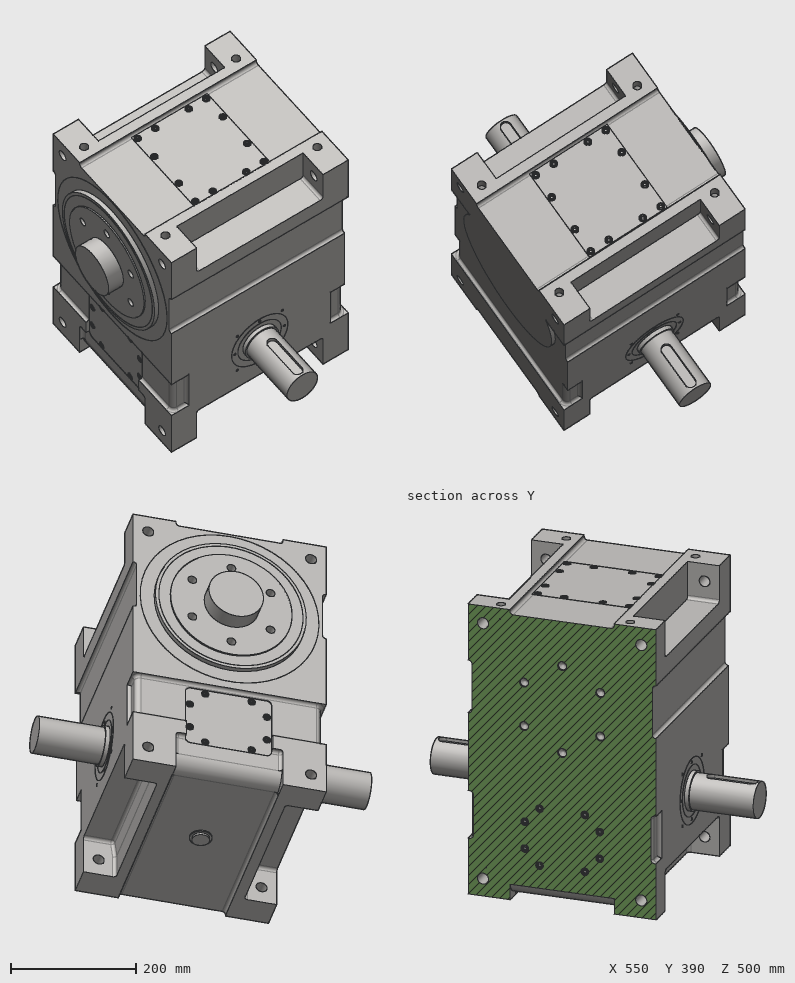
import cadquery as cq
import math

WIDTH, DEPTH, HEIGHT = 320.0, 350.0, 500.0
HALF_W, HALF_D = WIDTH / 2, DEPTH / 2
INPUT_LENGTH = 550.0
OUTPUT_REACH = 40.0
INPUT_Z = 160.0
OUTPUT_Z = 340.0

BAND_DEPTH = 6.0
INNER_R = 5.5
MARK = 0.5
EPS = 0.05

CHANNEL_W, CHANNEL_DEPTH = 177.0, 8.0

BAND_Z0, BAND_Z1 = 312.5, 402.5
WAIST_Z0, WAIST_Z1 = 97.0, 178.0
WAIST_NOTCH_Y = 35.0
WAIST_CORNER_R = 9.0
FRONT_RELIEF = 6.0
BACK_RECESS = 7.0

POCKET_HALF_Y, POCKET_DEPTH = 125.0, 54.0
TOP_POCKET_H, FOOT_POCKET_H = 64.0, 70.5
FOOT_WALL_BREAK_Z = 40.0
FOOT_WALL_LEAN = 4.0
FRONT_POCKET_DEPTH = 7.5
BELLY_R = 25.0

THROUGH_D, THROUGH_X, THROUGH_EDGE = 18.0, 135.0, 30.0
TAPPED_D, TAPPED_DEPTH = 14.5, 22.0
DRILL_POINT_ANGLE = 118
TOP_TAPPED_X, TOP_TAPPED_Y = 110.0, 150.0

FRONT_COVER_W, FRONT_COVER_Z0, FRONT_COVER_Z1 = 143.0, 59.5, 170.5
FRONT_COVER_R, FRONT_COVER_T = 9.0, 9.0
TOP_COVER_X, TOP_COVER_Y, TOP_COVER_T = 170.5, 150.0, 5.5
FRONT_SCREW_X, FRONT_SCREW_ROW_X = 64.0, 38.5
FRONT_SCREW_Z, FRONT_SCREW_ROW_Z = 49.0, 23.0
TOP_SCREW_X, TOP_SCREW_Y, TOP_SCREW_ROW = 78.0, 67.5, 33.0
SCREW_BORE_D, SCREW_HEAD_D, SCREW_SOCKET, SCREW_BORE_DEPTH = 12.0, 9.0, 5.5, 3.5

HOUSING_RING_R, FLANGE_R, FLANGE_FACE_R = 148.0, 125.0, 119.5
FLANGE_T = 8.0
HUB_R, HUB_T = 100.5, 11.0
OUTPUT_SHAFT_R = 45.0
FLANGE_BOLT_R, FLANGE_BOLT_COUNT = 75.0, 6

INPUT_R, COLLAR_R, COLLAR_T = 30.0, 33.0, 6.0
CAP_R, SEAL_R = 55.5, 43.0
CAP_SCREW_D, CAP_SCREW_DEPTH, CAP_SCREW_R, CAP_SCREW_OFFSET = 4.5, 8.0, 49.0, 44.5
KEY_W, KEY_L, KEY_DEPTH, KEY_END_GAP = 18.0, 86.0, 7.0, 4.0

PLUG_R, PLUG_T, PLUG_HEAD_R, PLUG_HEAD_T = 18.0, 2.0, 14.5, 4.0


def block(x0, x1, y0, y1, z0, z1):
    """Axis-aligned block between two corners."""
    return cq.Workplane("XY").box(x1 - x0, y1 - y0, z1 - z0, centered=False).translate((x0, y0, z0))


def rod(radius, length, start, direction):
    """Cylinder from a start point along a direction."""
    return cq.Workplane(obj=cq.Solid.makeCylinder(radius, length, cq.Vector(*start), cq.Vector(*direction)))


def edges_in(body, x_range, y_range, z_range):
    """Edges whose centres lie inside a box."""
    low = tuple(limits[0] - EPS for limits in (x_range, y_range, z_range))
    high = tuple(limits[1] + EPS for limits in (x_range, y_range, z_range))
    return body.edges(cq.selectors.BoxSelector(low, high))


def tapped_hole(start, inward):
    """Blind tapped hole with a conical drill tip."""
    hole = rod(TAPPED_D / 2, TAPPED_DEPTH, start, inward)
    tip_height = TAPPED_D / 2 / math.tan(math.radians(DRILL_POINT_ANGLE / 2))
    bottom = cq.Vector(*start) + cq.Vector(*inward) * TAPPED_DEPTH
    tip = cq.Solid.makeCone(TAPPED_D / 2, 0, tip_height, bottom, cq.Vector(*inward))
    return hole.union(cq.Workplane(obj=tip))


def both_sides(shape):
    """The shape together with its mirror image across the YZ plane."""
    return shape.union(shape.mirror("YZ"))


def channel_cutter():
    """Channel along the top face, with rounded floor edges."""
    half = CHANNEL_W / 2
    floor = HEIGHT - CHANNEL_DEPTH
    cutter = block(-half, half, -HALF_D, HALF_D, floor, HEIGHT)
    return cutter.edges("|Y and <Z").fillet(INNER_R)


def bottom_channel_cutter():
    """Channel along the bottom face, with rounded roof edges."""
    half = CHANNEL_W / 2
    cutter = block(-half, half, -HALF_D, HALF_D, 0, CHANNEL_DEPTH)
    return cutter.edges("|Y and >Z").fillet(INNER_R)


def top_pocket_cutter():
    """Pocket in the -X top edge, with rounded ends at its floor."""
    wall_x = -HALF_W + POCKET_DEPTH
    floor = HEIGHT - TOP_POCKET_H
    cutter = block(-HALF_W, wall_x, -POCKET_HALF_Y, POCKET_HALF_Y, floor, HEIGHT)
    return cutter.edges("|X and <Z").fillet(INNER_R)


def foot_pocket_cutter():
    """Pocket between the two -X feet; its wall leans outward toward the roof."""
    wall_x = -HALF_W + POCKET_DEPTH
    outline = [
        (-HALF_W, 0),
        (wall_x, 0),
        (wall_x, FOOT_WALL_BREAK_Z),
        (wall_x - FOOT_WALL_LEAN, FOOT_POCKET_H),
        (-HALF_W, FOOT_POCKET_H),
    ]
    cutter = cq.Workplane("XZ").polyline(outline).close().extrude(POCKET_HALF_Y, both=True)
    inner_faces = cutter.faces("|Y or >Z")
    return inner_faces.edges("(not <X) and (not <Z)").fillet(INNER_R)


def front_pocket_cutter():
    """Pocket between the front feet, running under the rounded belly of the housing."""
    half = CHANNEL_W / 2
    wall_y = -HALF_D + FRONT_POCKET_DEPTH
    pocket = block(-half, half, -HALF_D, wall_y, 0, FOOT_POCKET_H)
    pocket = pocket.edges("(>Y and |Z) or (>Y and >Z) or (>Z and |Y)").fillet(INNER_R)
    belly_z = CHANNEL_DEPTH + BELLY_R
    corner = block(-half, half, wall_y - INNER_R, wall_y + BELLY_R, 0, belly_z)
    belly = rod(BELLY_R, CHANNEL_W, (-half, wall_y + BELLY_R, belly_z), (1, 0, 0))
    return pocket.union(corner.cut(belly))


def waist_cutter(inset):
    """Shallow relief around the two +Y corners, above the feet."""
    core_x = HALF_W - FRONT_RELIEF
    core_y = HALF_D - inset
    notch_y = HALF_D - WAIST_NOTCH_Y
    strip = block(-HALF_W, HALF_W, notch_y, HALF_D, WAIST_Z0, WAIST_Z1)
    core = block(-core_x, core_x, 0, core_y, WAIST_Z0, WAIST_Z1)
    return strip.cut(core.edges("|Z and >Y").fillet(WAIST_CORNER_R))


def round_waist_roots(body):
    """Casting radius where the waist and the back recess run into the full-size housing."""
    core_x = (FRONT_RELIEF - HALF_W, HALF_W - FRONT_RELIEF)
    full_x = (-HALF_W, HALF_W)
    front_y, back_y = FRONT_RELIEF - HALF_D, HALF_D - BACK_RECESS
    notch_y = HALF_D - WAIST_NOTCH_Y
    upright_z = (WAIST_Z0 + INNER_R, WAIST_Z1 - INNER_R)

    roots = edges_in(body, core_x, (front_y, -notch_y), (WAIST_Z0, WAIST_Z0))
    roots = roots.add(edges_in(body, core_x, (front_y, -notch_y), (WAIST_Z1, WAIST_Z1)))
    roots = roots.add(edges_in(body, core_x, (-notch_y, -notch_y), upright_z))
    body = roots.fillet(INNER_R)

    roots = edges_in(body, core_x, (notch_y, back_y), (WAIST_Z0, WAIST_Z0))
    roots = roots.add(edges_in(body, core_x, (notch_y, notch_y), upright_z))
    roots = roots.add(edges_in(body, full_x, (back_y, back_y), (BAND_Z1, BAND_Z1)))
    return roots.fillet(INNER_R)


def screw_recess(position, inward):
    """Clearance ring and hexagon socket of a flush socket screw."""
    plane = cq.Plane(origin=position, xDir=(1, 0, 0), normal=inward)
    ring = cq.Workplane(plane).circle(SCREW_BORE_D / 2).circle(SCREW_HEAD_D / 2).extrude(SCREW_BORE_DEPTH)
    socket = cq.Workplane(plane).polygon(6, SCREW_SOCKET).extrude(SCREW_BORE_DEPTH)
    return ring.union(socket)


def build_housing():
    """Cast housing with its reliefs, channels and pockets."""
    body = block(-HALF_W, HALF_W, -HALF_D, HALF_D, 0, HEIGHT)

    body = body.cut(waist_cutter(FRONT_RELIEF).mirror("XZ"))
    body = body.cut(waist_cutter(BACK_RECESS))
    body = body.cut(block(-HALF_W, HALF_W, HALF_D - BACK_RECESS, HALF_D, WAIST_Z0, BAND_Z1))
    body = round_waist_roots(body)

    band = block(-HALF_W, -HALF_W + BAND_DEPTH, -HALF_D, HALF_D, BAND_Z0, BAND_Z1)
    body = body.cut(both_sides(band.edges("|Y and >X").fillet(INNER_R)))

    body = body.cut(channel_cutter()).cut(bottom_channel_cutter())
    body = body.cut(both_sides(top_pocket_cutter()))
    body = body.cut(both_sides(foot_pocket_cutter()))
    return body.cut(front_pocket_cutter())


def drill_housing(body):
    """Through holes at the four corners and tapped holes in the top face."""
    for x in (-THROUGH_X, THROUGH_X):
        for z in (THROUGH_EDGE, HEIGHT - THROUGH_EDGE):
            body = body.cut(rod(THROUGH_D / 2, DEPTH, (x, -HALF_D, z), (0, 1, 0)))
    for x in (-TOP_TAPPED_X, TOP_TAPPED_X):
        for y in (-TOP_TAPPED_Y, TOP_TAPPED_Y):
            body = body.cut(tapped_hole((x, y, HEIGHT), (0, 0, -1)))
    return body


def screw_pattern(wide, narrow_u, high, narrow_v):
    """Eight places around a cover: four in the end rows and four in the side columns."""
    ends = [(u, v) for u in (-narrow_u, narrow_u) for v in (-high, high)]
    sides = [(u, v) for u in (-wide, wide) for v in (-narrow_v, narrow_v)]
    return ends + sides


def add_front_cover(body):
    """Cover let into the feet, a joint step proud of the front pocket wall."""
    face_y = FRONT_POCKET_DEPTH - HALF_D - MARK
    mid_z = (FRONT_COVER_Z0 + FRONT_COVER_Z1) / 2
    height = FRONT_COVER_Z1 - FRONT_COVER_Z0
    half = FRONT_COVER_W / 2
    span = block(-half, half, -HALF_D, face_y + FRONT_COVER_T, FRONT_COVER_Z0, FRONT_COVER_Z1)
    span = span.edges("|Y").fillet(FRONT_COVER_R)
    opening = block(-half, half, -HALF_D, face_y, mid_z - height, mid_z + height)
    body = body.cut(span).union(span.cut(opening))
    places = screw_pattern(FRONT_SCREW_X, FRONT_SCREW_ROW_X, FRONT_SCREW_Z, FRONT_SCREW_ROW_Z)
    for x, z in places:
        body = body.cut(screw_recess((x, face_y, mid_z + z), (0, 1, 0)))
    return body


def add_top_cover(body):
    """Plate on the floor of the top channel, with screws at its corners as well."""
    face_z = HEIGHT - CHANNEL_DEPTH + MARK
    half_x, half_y = TOP_COVER_X / 2, TOP_COVER_Y / 2
    body = body.union(block(-half_x, half_x, -half_y, half_y, face_z - TOP_COVER_T, face_z))
    places = screw_pattern(TOP_SCREW_X, TOP_SCREW_ROW, TOP_SCREW_Y, TOP_SCREW_ROW)
    places += [(x, y) for x in (-TOP_SCREW_X, TOP_SCREW_X) for y in (-TOP_SCREW_Y, TOP_SCREW_Y)]
    for x, y in places:
        body = body.cut(screw_recess((x, y, face_z), (0, 0, -1)))
    return body


def add_output(body):
    """Bearing ring, stepped flange and shaft on the front, and the bearing cap on the back."""
    front = (0, -HALF_D, OUTPUT_Z)
    forward, backward = (0, -1, 0), (0, 1, 0)
    body = body.cut(rod(HOUSING_RING_R, MARK, front, backward))
    steps = [
        (FLANGE_R, FLANGE_T - MARK),
        (FLANGE_FACE_R, FLANGE_T),
        (HUB_R, HUB_T),
        (OUTPUT_SHAFT_R, OUTPUT_REACH),
    ]
    base = (0, MARK - HALF_D, OUTPUT_Z)
    for radius, reach in steps:
        body = body.union(rod(radius, reach + MARK, base, forward))

    hub_face_y = -HALF_D - HUB_T
    for i in range(FLANGE_BOLT_COUNT):
        angle = math.radians(90 + i * 360 / FLANGE_BOLT_COUNT)
        x = FLANGE_BOLT_R * math.cos(angle)
        z = OUTPUT_Z + FLANGE_BOLT_R * math.sin(angle)
        body = body.cut(tapped_hole((x, hub_face_y, z), backward))

    return body.union(rod(FLANGE_R, BACK_RECESS, (0, HALF_D - BACK_RECESS, OUTPUT_Z), backward))


def input_cap_cutter():
    """Stepped joints and screw holes of the -X bearing cap."""
    face = (-HALF_W, 0, INPUT_Z)
    inward = (1, 0, 0)
    cutter = rod(CAP_R, MARK, face, inward).union(rod(SEAL_R, 2 * MARK, face, inward))
    offsets = (-CAP_SCREW_OFFSET, CAP_SCREW_OFFSET)
    diagonal = [(y, z) for y in offsets for z in offsets]
    square = [(CAP_SCREW_R, 0), (-CAP_SCREW_R, 0), (0, CAP_SCREW_R), (0, -CAP_SCREW_R)]
    for y, z in diagonal + square:
        start = (-HALF_W, y, INPUT_Z + z)
        cutter = cutter.union(rod(CAP_SCREW_D / 2, CAP_SCREW_DEPTH, start, inward))
    return cutter


def keyway_cutter():
    """Round-ended keyway in the top of the -X shaft end."""
    centre_x = KEY_END_GAP + KEY_L / 2 - INPUT_LENGTH / 2
    slot = cq.Workplane("XY").center(centre_x, 0).slot2D(KEY_L, KEY_W).extrude(KEY_DEPTH)
    return slot.translate((0, 0, INPUT_Z + INPUT_R - KEY_DEPTH))


def add_input(body):
    """Through shaft with a collar and keyway at each end."""
    body = body.cut(both_sides(input_cap_cutter()))
    shaft = rod(INPUT_R, INPUT_LENGTH, (-INPUT_LENGTH / 2, 0, INPUT_Z), (1, 0, 0))
    collar_x = HALF_W + COLLAR_T
    collar = rod(COLLAR_R, 2 * collar_x, (-collar_x, 0, INPUT_Z), (1, 0, 0))
    return body.union(collar).union(shaft.cut(both_sides(keyway_cutter())))


def add_drain_plug(body):
    """Plug under the middle of the bottom channel."""
    washer = rod(PLUG_R, PLUG_T, (0, 0, CHANNEL_DEPTH), (0, 0, -1))
    head = rod(PLUG_HEAD_R, PLUG_T + PLUG_HEAD_T, (0, 0, CHANNEL_DEPTH), (0, 0, -1))
    return body.union(washer).union(head)


result = build_housing()
for add_feature in (drill_housing, add_front_cover, add_top_cover, add_output, add_input, add_drain_plug):
    result = add_feature(result)